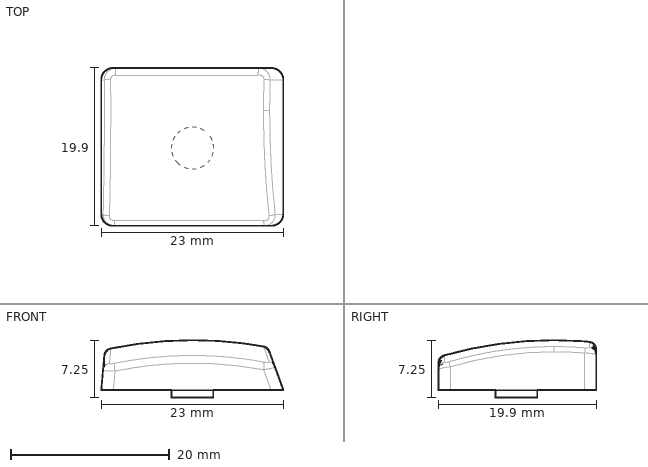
import cadquery as cq
import math

length = 22.95
width = 19.9
crown_height = 6.29
left_draft = 5.0
right_draft = 20.0
corner_radius = 1.5
top_edge_radius = 1.0

dome_radius = 50.93
dome_peak_y = 4.59

stem_diameter = 5.3
stem_height = 0.96
stem_y = -0.11


def tapered_block():
    """Four-sided prism along Y, taller than the cap, with drafted left and right walls."""
    block_height = crown_height + top_edge_radius
    left_inset = block_height * math.tan(math.radians(left_draft))
    right_inset = block_height * math.tan(math.radians(right_draft))
    return (
        cq.Workplane("XZ")
        .moveTo(-length / 2, 0)
        .lineTo(length / 2, 0)
        .lineTo(length / 2 - right_inset, block_height)
        .lineTo(-length / 2 + left_inset, block_height)
        .close()
        .extrude(width / 2, both=True)
    )


def dome():
    """Sphere that trims the block to its convex top face."""
    dome_center = (0, dome_peak_y, crown_height - dome_radius)
    return cq.Workplane("XY").sphere(dome_radius).translate(dome_center)


def cap_body():
    upright_corners = "not (#Z or |Y)"
    rounded_block = tapered_block().edges(upright_corners).fillet(corner_radius)
    domed = rounded_block.intersect(dome())
    return domed.faces("%SPHERE").edges().fillet(top_edge_radius)


def stem():
    return (
        cq.Workplane("XY")
        .center(0, stem_y)
        .circle(stem_diameter / 2)
        .extrude(-stem_height)
    )


result = cap_body().union(stem())